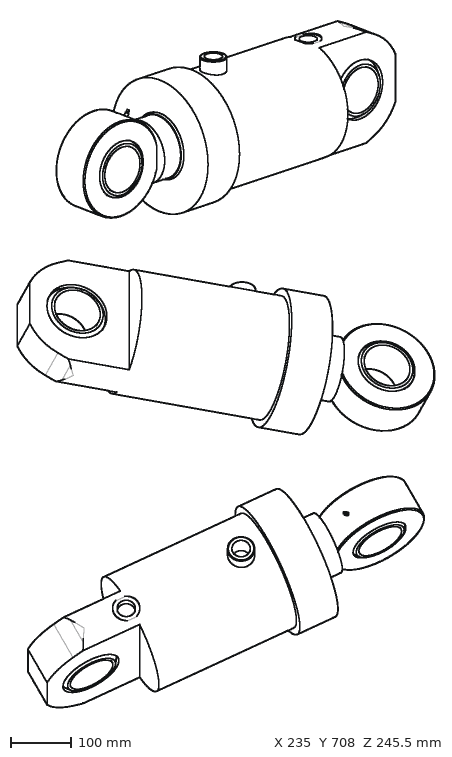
import cadquery as cq
import math


PIN_DIAMETER = 80.0
BEARING_FACE_DIAMETER = 90.0
BEARING_WIDTH = 75.0
BEARING_RADIUS = math.hypot(BEARING_FACE_DIAMETER / 2, BEARING_WIDTH / 2)

EYE_WIDTH = 70.0
ROD_EYE_RADIUS = 85.0
ROD_EYE_CHAMFER = 2.0
ROD_EYE_OPENING = 99.0
ROD_DIAMETER = 110.0
ROD_END_Y = 80.0

NIPPLE_TILT = 30.0
NIPPLE_STEPS = [(6.0, 90.5), (3.0, 93.0), (4.0, 96.0)]
NIPPLE_ROOT = ROD_EYE_RADIUS - 3.5

BARREL_RADIUS = 210.0 / 2
FLANGE_DIAMETER = 235.0
FLANGE_FRONT_Y = 120.5
FLANGE_THICKNESS = 71.5
FLANGE_REAR_Y = FLANGE_FRONT_Y + FLANGE_THICKNESS
LIP_HEIGHT = 4.0
LIP_BASE_DIAMETER = 117.0
LIP_TIP_DIAMETER = 112.5

CHEEK_START_Y = 449.5
REAR_EYE_Y = 541.0
REAR_EYE_OPENING = 105.0
OVERALL_LENGTH = 708.0
REAR_END_Y = OVERALL_LENGTH - ROD_EYE_RADIUS
NOSE_RADIUS = 100.0
NOSE_CENTRE_Y = REAR_EYE_Y - 8.5
NOSE_SLOPE = math.radians(25)
BLEND_RADIUS = 30.0

PORT_DIAMETER = 30.5
PORT_FACE_DIAMETER = 45.0
PORT_FLOOR_Z = 90.0
PORT_TIP_ANGLE = 118.0
FRONT_PORT_Y = 241.5
BOSS_TOP_Z = 128.0
BOSS_CHAMFER = 1.5
REAR_PORT_Y = 457.0
SPOT_FACE_DEPTH = 2.0


def cylinder_x(diameter, length, y):
    """Cylinder along X, centred on X = 0."""
    return cq.Workplane("YZ").center(y, 0).circle(diameter / 2).extrude(length / 2, both=True)


def cylinder_y(diameter, start_y, end_y):
    """Cylinder along Y on the main axis."""
    return cq.Workplane("XZ", origin=(0, start_y, 0)).circle(diameter / 2).extrude(start_y - end_y)


def cylinder_z(diameter, bottom_z, top_z, y):
    """Cylinder along Z, centred on X = 0."""
    return cq.Workplane("XY", origin=(0, y, bottom_z)).circle(diameter / 2).extrude(top_z - bottom_z)


def bearing_seat(opening_diameter, y):
    """Spherical socket with a round opening through both faces of an eye."""
    opening_radius = opening_diameter / 2
    socket_edge_x = math.sqrt(BEARING_RADIUS**2 - opening_radius**2)
    seat = (
        cq.Workplane("XY")
        .moveTo(-BEARING_WIDTH / 2, 0)
        .lineTo(-BEARING_WIDTH / 2, opening_radius)
        .lineTo(-socket_edge_x, opening_radius)
        .threePointArc((0, BEARING_RADIUS), (socket_edge_x, opening_radius))
        .lineTo(BEARING_WIDTH / 2, opening_radius)
        .lineTo(BEARING_WIDTH / 2, 0)
        .close()
        .revolve(360, (0, 0), (1, 0))
    )
    return seat.translate((0, y, 0))


def make_bearing(y):
    """Ball-shaped ring with two flat faces and a pin hole."""
    bearing = (
        cq.Workplane("XY")
        .moveTo(-BEARING_WIDTH / 2, PIN_DIAMETER / 2)
        .lineTo(-BEARING_WIDTH / 2, BEARING_FACE_DIAMETER / 2)
        .threePointArc((0, BEARING_RADIUS), (BEARING_WIDTH / 2, BEARING_FACE_DIAMETER / 2))
        .lineTo(BEARING_WIDTH / 2, PIN_DIAMETER / 2)
        .close()
        .revolve(360, (0, 0), (1, 0))
    )
    return bearing.translate((0, y, 0))


def make_nipple():
    """Stepped grease nipple, built upright and then tilted about the eye's X axis."""
    nipple = cq.Workplane("XY")
    bottom = NIPPLE_ROOT
    for diameter, top in NIPPLE_STEPS:
        nipple = nipple.union(cylinder_z(diameter, bottom, top, 0))
        bottom = top
    return nipple.rotate((0, 0, 0), (1, 0, 0), -NIPPLE_TILT)


def make_rod():
    eye = cylinder_x(2 * ROD_EYE_RADIUS, EYE_WIDTH, 0).edges().chamfer(ROD_EYE_CHAMFER)
    rod = cylinder_y(ROD_DIAMETER, ROD_END_Y, FLANGE_REAR_Y)
    return eye.union(rod).union(make_nipple()).cut(bearing_seat(ROD_EYE_OPENING, 0))


def make_nose_envelope():
    """Side outline of the barrel: parallel sides, blend, slope, nose arc and flat end."""
    arc_end_y = NOSE_CENTRE_Y + NOSE_RADIUS * math.sin(NOSE_SLOPE)
    arc_end_z = NOSE_RADIUS * math.cos(NOSE_SLOPE)
    flat_z = math.sqrt(NOSE_RADIUS**2 - (REAR_END_Y - NOSE_CENTRE_Y) ** 2)
    arc_mid_angle = (NOSE_SLOPE + math.acos(flat_z / NOSE_RADIUS)) / 2
    arc_mid_y = NOSE_CENTRE_Y + NOSE_RADIUS * math.sin(arc_mid_angle)
    arc_mid_z = NOSE_RADIUS * math.cos(arc_mid_angle)

    blend_centre_z = BARREL_RADIUS - BLEND_RADIUS
    blend_end_z = blend_centre_z + BLEND_RADIUS * math.cos(NOSE_SLOPE)
    blend_end_y = arc_end_y - (blend_end_z - arc_end_z) / math.tan(NOSE_SLOPE)
    blend_start_y = blend_end_y - BLEND_RADIUS * math.sin(NOSE_SLOPE)
    blend_mid_y = blend_start_y + BLEND_RADIUS * math.sin(NOSE_SLOPE / 2)
    blend_mid_z = blend_centre_z + BLEND_RADIUS * math.cos(NOSE_SLOPE / 2)

    return (
        cq.Workplane("YZ")
        .moveTo(FLANGE_FRONT_Y, -BARREL_RADIUS)
        .lineTo(FLANGE_FRONT_Y, BARREL_RADIUS)
        .lineTo(blend_start_y, BARREL_RADIUS)
        .threePointArc((blend_mid_y, blend_mid_z), (blend_end_y, blend_end_z))
        .lineTo(arc_end_y, arc_end_z)
        .threePointArc((arc_mid_y, arc_mid_z), (REAR_END_Y, flat_z))
        .lineTo(REAR_END_Y, -flat_z)
        .threePointArc((arc_mid_y, -arc_mid_z), (arc_end_y, -arc_end_z))
        .lineTo(blend_end_y, -blend_end_z)
        .threePointArc((blend_mid_y, -blend_mid_z), (blend_start_y, -BARREL_RADIUS))
        .close()
        .extrude(BARREL_RADIUS, both=True)
    )


def make_cheek_cutter(side):
    """Block that mills one flat cheek of the rear eye; side is -1 or +1 along X."""
    length = REAR_END_Y - CHEEK_START_Y
    block = cq.Workplane("XY").box(BARREL_RADIUS, length, 2 * BARREL_RADIUS)
    return block.translate((side * (EYE_WIDTH + BARREL_RADIUS) / 2, CHEEK_START_Y + length / 2, 0))


def make_head():
    """Flange with a tapered wiper lip around the rod."""
    flange = cylinder_y(FLANGE_DIAMETER, FLANGE_FRONT_Y, FLANGE_REAR_Y)
    lip = (
        cq.Workplane("XZ", origin=(0, FLANGE_FRONT_Y, 0))
        .circle(LIP_BASE_DIAMETER / 2)
        .workplane(offset=LIP_HEIGHT)
        .circle(LIP_TIP_DIAMETER / 2)
        .loft()
    )
    return flange.union(lip)


def make_port_hole(y, face_z):
    """Blind drilled hole with a conical bottom, opening at face_z."""
    radius = PORT_DIAMETER / 2
    tip_z = PORT_FLOOR_Z - radius / math.tan(math.radians(PORT_TIP_ANGLE / 2))
    return (
        cq.Workplane("XZ", origin=(0, y, 0))
        .polyline([(0, face_z), (radius, face_z), (radius, PORT_FLOOR_Z), (0, tip_z)])
        .close()
        .revolve(360, (0, 0), (0, 1))
    )


def make_barrel():
    barrel = cylinder_y(2 * BARREL_RADIUS, FLANGE_FRONT_Y, REAR_END_Y)
    barrel = barrel.intersect(make_nose_envelope())
    for side in (-1, 1):
        barrel = barrel.cut(make_cheek_cutter(side))
    barrel = barrel.union(make_head())

    boss = cylinder_z(PORT_FACE_DIAMETER, PORT_FLOOR_Z, BOSS_TOP_Z, FRONT_PORT_Y)
    barrel = barrel.union(boss.faces(">Z").edges().chamfer(BOSS_CHAMFER))
    barrel = barrel.cut(make_port_hole(FRONT_PORT_Y, BOSS_TOP_Z))

    spot_face_z = BARREL_RADIUS - SPOT_FACE_DEPTH
    barrel = barrel.cut(cylinder_z(PORT_FACE_DIAMETER, spot_face_z, BOSS_TOP_Z, REAR_PORT_Y))
    barrel = barrel.cut(make_port_hole(REAR_PORT_Y, spot_face_z))

    barrel = barrel.cut(cylinder_y(ROD_DIAMETER, FLANGE_FRONT_Y - LIP_HEIGHT, FLANGE_REAR_Y))
    return barrel.cut(bearing_seat(REAR_EYE_OPENING, REAR_EYE_Y))


barrel = make_barrel()
rod = make_rod()
bearings = [make_bearing(y) for y in (0, REAR_EYE_Y)]

bodies = [barrel, rod, *bearings]
result = cq.Compound.makeCompound([body.solids().val() for body in bodies])